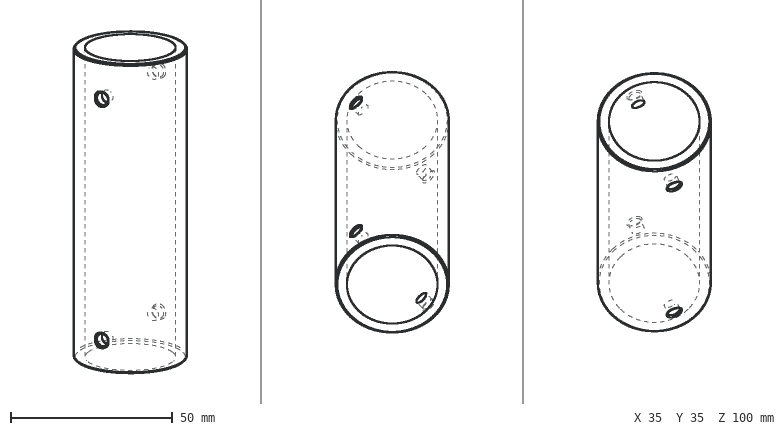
import cadquery as cq

length = 100.0
outer_diameter = 35.0
bore_diameter = 28.0
end_chamfer = 0.5

hole_diameter = 4.0
hole_chamfer = 0.5
bottom_hole_height = 10.0
top_hole_offset = 12.0
hole_heights = (bottom_hole_height, length - top_hole_offset)


def make_tube():
    """Chamfered round bar standing on the XY plane, bored through along Z."""
    bar = cq.Workplane("XY").circle(outer_diameter / 2).extrude(length)
    bar = bar.faces("<Z or >Z").chamfer(end_chamfer)
    bore = cq.Workplane("XY").circle(bore_diameter / 2).extrude(length)
    return bar.cut(bore)


def drill_cross_hole(tube, height):
    """Drill through both walls along Y and chamfer the two outer rims."""
    drill = (
        cq.Workplane("XZ", origin=(0, 0, height))
        .circle(hole_diameter / 2)
        .extrude(outer_diameter, both=True)
    )
    drilled = tube.cut(drill)

    mid_wall = (outer_diameter + bore_diameter) / 4
    for side in (-1, 1):
        rim_box = cq.selectors.BoxSelector(
            (-hole_diameter, side * mid_wall, height - hole_diameter),
            (hole_diameter, side * outer_diameter, height + hole_diameter),
            boundingbox=True,
        )
        drilled = drilled.edges(rim_box).chamfer(hole_chamfer)
    return drilled


result = make_tube()
for hole_height in hole_heights:
    result = drill_cross_hole(result, hole_height)